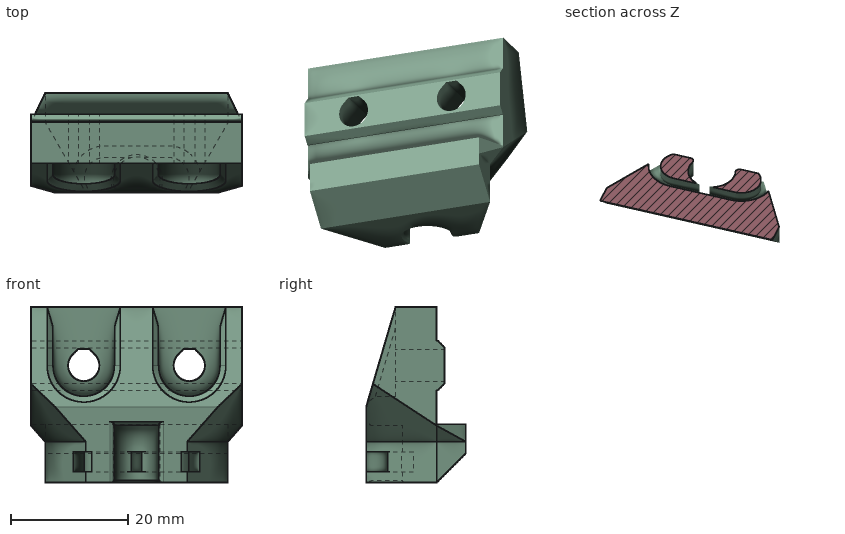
import cadquery as cq
import math

width = 36.0
height = 30.0
depth = 12.0
top_depth = 7.0
slope_start_z = 13.0
slope_angle = math.atan2(depth - top_depth, height - slope_start_z)

flank_angle = math.radians(30.0)
flank_front_half = 8.65
flank_back_half = flank_front_half + depth * math.tan(flank_angle)
flank_top_z = 7.0
flare_rise = 2.75
flare_run = width / 2 - flank_back_half

lip_depth = 5.0
lip_height = 10.0

rib_depth = 1.4
rib_chamfer = 1.2
rib_half_height = 4.25

screw_spacing = 18.0
screw_z = 20.0
screw_radius = 2.65
screw_flat_height = 2.8
seat_radius = 5.25
seat_chamfer = 1.0

groove_radius = 4.0
groove_center_y = -9.87
groove_height = 9.8
groove_rim_radius = 0.75
groove_roof_rise = 0.6
groove_roof_run = 0.8
groove_foot_chamfer = 0.4

tie_inner_radius = 3.4
tie_thickness = 2.0
tie_bend_x = 5.5
tie_window_half = 0.92
tie_back_y = groove_center_y + math.sqrt(groove_radius**2 - tie_window_half**2)
tie_center_y = tie_back_y - tie_inner_radius
tie_bottom_z = 1.9
tie_height = 3.4

margin = 5.0


def mirrored_pair(shape):
    """The shape together with its mirror image across the YZ plane."""
    return shape.union(shape.mirror("YZ"))


def main_block():
    """Full-width block with a vertical lower front and a sloped upper front."""
    outline = [
        (0, 0),
        (-depth, 0),
        (-depth, slope_start_z),
        (-top_depth, height),
        (0, height),
    ]
    return cq.Workplane("YZ").polyline(outline).close().extrude(width / 2, both=True)


def flank_cutter():
    """Material outside the right flank; the profile is square to the flank in plan."""
    normal_x = math.cos(flank_angle)
    normal_y = -math.sin(flank_angle)
    plane = cq.Plane(
        origin=(flank_front_half, -depth, 0),
        xDir=(normal_x, normal_y, 0),
        normal=(normal_y, -normal_x, 0),
    )
    reach = width
    flare_slope = flare_rise / (flare_run * normal_x)
    profile = [
        (0, -margin),
        (0, flank_top_z),
        (reach, flank_top_z + reach * flare_slope),
        (reach, -margin),
    ]
    return cq.Workplane(plane).polyline(profile).close().extrude(reach, both=True)


def lip():
    """Common volume of the lip's plan, side and rear outlines."""
    half = width / 2
    plan = [(-half, 0), (half, 0), (flank_back_half, lip_depth), (-flank_back_half, lip_depth)]
    side = [(0, 0), (lip_depth, lip_depth), (lip_depth, lip_height), (0, lip_height)]
    flare_top_z = flank_top_z + flare_rise
    rear = [
        (-flank_back_half, 0),
        (flank_back_half, 0),
        (flank_back_half, flank_top_z),
        (half, flare_top_z),
        (half, lip_height),
        (-half, lip_height),
        (-half, flare_top_z),
        (-flank_back_half, flank_top_z),
    ]
    plan_solid = cq.Workplane("XY").polyline(plan).close().extrude(lip_height)
    side_solid = cq.Workplane("YZ").polyline(side).close().extrude(half, both=True)
    rear_solid = cq.Workplane("XZ").polyline(rear).close().extrude(-lip_depth)
    return plan_solid.intersect(side_solid).intersect(rear_solid)


def rib():
    """Full-width rib centred on the screw height, standing on a short square step."""
    crest_half = rib_half_height - rib_chamfer
    step = rib_depth - rib_chamfer
    outline = [
        (0, screw_z - rib_half_height),
        (step, screw_z - rib_half_height),
        (rib_depth, screw_z - crest_half),
        (rib_depth, screw_z + crest_half),
        (step, screw_z + rib_half_height),
        (0, screw_z + rib_half_height),
    ]
    return cq.Workplane("YZ").polyline(outline).close().extrude(width / 2, both=True)


def screw_hole():
    """Round hole along Y whose roof rises at 45 degrees to a flat top."""
    tangent = screw_radius / math.sqrt(2)
    flat_half = 2 * tangent - screw_flat_height
    return (
        cq.Workplane("XZ", origin=(screw_spacing / 2, 0, screw_z))
        .moveTo(-tangent, tangent)
        .threePointArc((0, -screw_radius), (tangent, tangent))
        .lineTo(flat_half, screw_flat_height)
        .lineTo(-flat_half, screw_flat_height)
        .close()
        .extrude(depth + margin, both=True)
    )


def seat_rim_wire(inset):
    """U outline parallel to the sloped front, moved back by inset and narrowed by as much."""
    radius = seat_radius + seat_chamfer - inset
    center_y = -depth + (screw_z - slope_start_z) * math.tan(slope_angle) + inset
    plane = cq.Plane(
        origin=(screw_spacing / 2, center_y, screw_z),
        xDir=(1, 0, 0),
        normal=(0, -math.cos(slope_angle), math.sin(slope_angle)),
    )
    along_slope = radius / math.cos(slope_angle)
    arm = height - screw_z + margin
    return (
        cq.Workplane(plane)
        .moveTo(-radius, 0)
        .ellipseArc(radius, along_slope, 180, 360, startAtCurrent=True)
        .lineTo(radius, arm)
        .lineTo(-radius, arm)
        .close()
        .wire()
        .val()
    )


def screw_seat():
    """Open-topped U seat with a chamfered rim, its floor level with the top front edge."""
    arm = height - screw_z + margin
    pocket = (
        cq.Workplane("XZ", origin=(screw_spacing / 2, -top_depth, screw_z))
        .moveTo(-seat_radius, 0)
        .threePointArc((0, -seat_radius), (seat_radius, 0))
        .lineTo(seat_radius, arm)
        .lineTo(-seat_radius, arm)
        .close()
        .extrude(depth)
    )
    rim_wires = [seat_rim_wire(0), seat_rim_wire(seat_chamfer)]
    rim = cq.Workplane(cq.Solid.makeLoft(rim_wires, True))
    in_front_of_floor = (
        cq.Workplane("XZ", origin=(0, -top_depth, height / 2))
        .rect(width, height + 4 * margin)
        .extrude(depth)
    )
    return pocket.union(rim.intersect(in_front_of_floor))


def groove():
    """Round groove opening through the front, where convex rims blend it into the face."""
    rim_center_y = -depth + groove_rim_radius
    rim_offset_y = rim_center_y - groove_center_y
    center_distance = groove_radius + groove_rim_radius
    rim_center_x = math.sqrt(center_distance**2 - rim_offset_y**2)
    tangent_x = rim_center_x * groove_radius / center_distance
    tangent_y = groove_center_y + rim_offset_y * groove_radius / center_distance
    start_angle = math.radians(270)
    end_angle = math.atan2(-rim_offset_y, -rim_center_x) % (2 * math.pi)
    middle_angle = (start_angle + end_angle) / 2
    middle_x = rim_center_x + groove_rim_radius * math.cos(middle_angle)
    middle_y = rim_center_y + groove_rim_radius * math.sin(middle_angle)
    channel = (
        cq.Workplane("XY")
        .moveTo(-rim_center_x, -depth)
        .threePointArc((-middle_x, middle_y), (-tangent_x, tangent_y))
        .threePointArc((0, groove_center_y + groove_radius), (tangent_x, tangent_y))
        .threePointArc((middle_x, middle_y), (rim_center_x, -depth))
        .close()
        .extrude(height)
    )
    side = [
        (0, 0),
        (-depth, 0),
        (-depth, groove_height + groove_roof_rise),
        (-depth + groove_roof_run, groove_height),
        (0, groove_height),
    ]
    below_roof = cq.Workplane("YZ").polyline(side).close().extrude(width / 2, both=True)
    return channel.intersect(below_roof)


def groove_foot():
    """Cone that chamfers the bottom edge of the groove."""
    return cq.Workplane(
        cq.Solid.makeCone(
            groove_radius + groove_foot_chamfer,
            groove_radius,
            groove_foot_chamfer,
            cq.Vector(0, groove_center_y, 0),
        )
    )


def tie_channel():
    """Ring between two stadium outlines that share the same bend centres."""
    def stadium(radius):
        length = 2 * (tie_bend_x + radius)
        return (
            cq.Workplane("XY", origin=(0, tie_center_y, tie_bottom_z))
            .slot2D(length, 2 * radius)
            .extrude(tie_height)
        )

    return stadium(tie_inner_radius + tie_thickness).cut(stadium(tie_inner_radius))


body = main_block().cut(mirrored_pair(flank_cutter()))
body = body.union(lip()).union(rib())
body = body.cut(mirrored_pair(screw_seat())).cut(mirrored_pair(screw_hole()))
body = body.cut(groove()).cut(groove_foot())
result = body.cut(tie_channel())